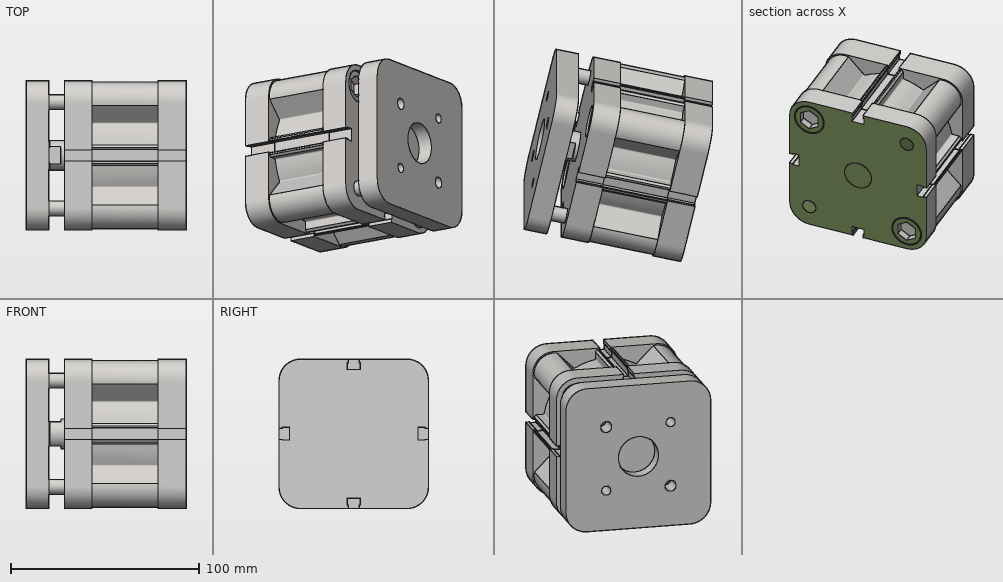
import cadquery as cq
import math


plate_thickness = 12
cap_front = 20.3
barrel_start = 34.9
barrel_end = 70
total_length = 85

body_size = 79.5
half_size = body_size / 2
corner_radius = 11.5
corner_offset = half_size - corner_radius

barrel_inset = 0.75
barrel_size = body_size - 2 * barrel_inset
barrel_corner_radius = corner_radius - barrel_inset
tube_radius = 34
corner_web_width = 17.6
rib_width = 10.8
rib_chamfer = 1.15
groove_fillet = 0.85

slot_width = 5.8
slot_undercut_width = 6.8
slot_lip = 2
slot_depth = 5.5
slot_floor = half_size - slot_depth
barrel_slot_width = 6
barrel_slot_undercut_width = 7.4
barrel_slot_depth = 5.8
barrel_slot_floor = half_size - barrel_slot_depth
barrel_slot_lip = 0.7
slot_mouth_chamfer = 0.3

plate_recess_diameter = 22
plate_recess_depth = 8
mounting_circle_diameter = 50
mounting_offset = mounting_circle_diameter / 2 * math.sin(math.radians(45))
screw_hole_diameter = 6
dowel_hole_diameter = 5

rod_diameter = 16
rod_chamfer = 0.7
rod_flats_width = 13
rod_flats_end = 18.25
rod_flats_runout = 0.25

guide_diameter = 8
guide_offset = corner_offset

screw_counterbore_diameter = 17
screw_head_diameter = 16.4
screw_counterbore_depth = 4
screw_head_sink = 1
socket_width = 10
socket_depth = 5

guide_points = [(-guide_offset, guide_offset), (guide_offset, -guide_offset)]
cap_screw_points = [(corner_offset, corner_offset), (-corner_offset, -corner_offset)]
screw_hole_points = [(mounting_offset, mounting_offset), (-mounting_offset, -mounting_offset)]
dowel_hole_points = [(-mounting_offset, mounting_offset), (mounting_offset, -mounting_offset)]


def section(x):
    """Workplane across the cylinder axis at x; its local axes are Y and Z."""
    return cq.Workplane("YZ", origin=(x, 0, 0))


def cylinder(diameter, x_start, x_end, points=((0, 0),)):
    """Cylinders along X centered on (Y, Z) points."""
    return section(x_start).pushPoints(list(points)).circle(diameter / 2).extrude(x_end - x_start)


def rounded_block(size, radius, x_start, x_end):
    """Square block with rounded long edges."""
    return section(x_start).rect(size, size).extrude(x_end - x_start).edges("|X").fillet(radius)


def make_yoke_plate():
    plate = rounded_block(body_size, corner_radius, 0, plate_thickness)
    plate = plate.cut(cylinder(plate_recess_diameter, 0, plate_recess_depth))
    plate = plate.cut(cylinder(screw_hole_diameter, 0, plate_thickness, screw_hole_points))
    return plate.cut(cylinder(dowel_hole_diameter, 0, plate_thickness, dowel_hole_points))


def make_piston_rod():
    rod = cylinder(rod_diameter, plate_thickness, barrel_end).faces("<X").chamfer(rod_chamfer)
    flat_height = rod_flats_width / 2
    rod_radius = rod_diameter / 2
    flat_cut = (
        cq.Workplane("XZ")
        .moveTo(plate_thickness, flat_height)
        .lineTo(rod_flats_end, flat_height)
        .lineTo(rod_flats_end + rod_flats_runout, rod_radius)
        .lineTo(plate_thickness, rod_radius)
        .close()
        .extrude(rod_radius, both=True)
    )
    return rod.cut(flat_cut).cut(flat_cut.mirror("XY"))


def make_guide_rod(point):
    return cylinder(guide_diameter, plate_thickness, barrel_end, [point])


def make_barrel():
    length = barrel_end - barrel_start
    barrel = cylinder(2 * tube_radius, barrel_start, barrel_end)
    corner_distance = math.hypot(corner_offset, corner_offset)
    web = section(barrel_start).rect(2 * corner_distance, corner_web_width).extrude(length)
    full_web = section(barrel_start).rect(2 * body_size, corner_web_width).extrude(length)
    corner_centers = [(-corner_distance, 0), (corner_distance, 0)]
    corners = cylinder(2 * barrel_corner_radius, barrel_start, barrel_end, corner_centers)
    web = web.union(corners.intersect(full_web))
    for angle in (45, 135):
        barrel = barrel.union(web.rotate((0, 0, 0), (1, 0, 0), angle))
    rib = section(barrel_start).rect(rib_width, barrel_size).extrude(length)
    rib = rib.edges("|X").chamfer(rib_chamfer)
    for angle in (0, 90):
        barrel = barrel.union(rib.rotate((0, 0, 0), (1, 0, 0), angle))
    inner_corners = barrel.edges("|X").filter(
        lambda edge: math.isclose(math.hypot(edge.Center().y, edge.Center().z), tube_radius, abs_tol=0.01)
    )
    return inner_corners.fillet(groove_fillet)


def make_slot(x_start, x_end, width, undercut_width, floor, lip_bottom, mouth):
    """Cutter for an undercut slot on the top side; floor, lip_bottom and mouth are heights in Z."""
    length = x_end - x_start
    opening = section(x_start).center(0, (floor + mouth) / 2).rect(width, mouth - floor)
    undercut = section(x_start).center(0, (floor + lip_bottom) / 2)
    undercut = undercut.rect(undercut_width, lip_bottom - floor)
    return opening.extrude(length).union(undercut.extrude(length))


def make_barrel_slot():
    """Cutter for the deeper slot in the barrel, with thin lips and a chamfered mouth."""
    mouth = barrel_size / 2
    lip_bottom = mouth - barrel_slot_lip
    slot = make_slot(
        barrel_start,
        barrel_end,
        barrel_slot_width,
        barrel_slot_undercut_width,
        barrel_slot_floor,
        lip_bottom,
        mouth,
    )
    half_width = barrel_slot_width / 2
    mouth_chamfer = (
        section(barrel_start)
        .moveTo(-half_width - slot_mouth_chamfer, mouth)
        .lineTo(half_width + slot_mouth_chamfer, mouth)
        .lineTo(half_width, mouth - slot_mouth_chamfer)
        .lineTo(-half_width, mouth - slot_mouth_chamfer)
        .close()
        .extrude(barrel_end - barrel_start)
    )
    return slot.union(mouth_chamfer)


def cut_on_all_sides(body, cutter):
    for angle in (0, 90, 180, 270):
        body = body.cut(cutter.rotate((0, 0, 0), (1, 0, 0), angle))
    return body


def make_end_cap(x_start, x_end):
    cap = rounded_block(body_size, corner_radius, x_start, x_end)
    lip_bottom = half_size - slot_lip
    slot = make_slot(x_start, x_end, slot_width, slot_undercut_width, slot_floor, lip_bottom, half_size)
    return cut_on_all_sides(cap, slot)


def make_cap_screw_pocket(point):
    """Cutter that leaves a sunk socket head standing in its counterbore."""
    head_face = cap_front + screw_head_sink
    pocket = cylinder(screw_counterbore_diameter, cap_front, cap_front + screw_counterbore_depth, [point])
    head = cylinder(screw_head_diameter, head_face, cap_front + screw_counterbore_depth, [point])
    socket_corner_diameter = socket_width / math.cos(math.radians(30))
    socket = cq.Workplane("YZ").polygon(6, socket_corner_diameter).extrude(socket_depth)
    socket = socket.rotate((0, 0, 0), (1, 0, 0), 30).translate((head_face, *point))
    return pocket.cut(head).union(socket)


def make_housing():
    housing = cut_on_all_sides(make_barrel(), make_barrel_slot())
    housing = housing.union(make_end_cap(cap_front, barrel_start))
    housing = housing.union(make_end_cap(barrel_end, total_length))
    for point in cap_screw_points:
        housing = housing.cut(make_cap_screw_pocket(point))
    housing = housing.cut(cylinder(rod_diameter, cap_front, barrel_end))
    return housing.cut(cylinder(guide_diameter, cap_front, barrel_end, guide_points))


yoke_plate = make_yoke_plate()
piston_rod = make_piston_rod()
guide_rods = [make_guide_rod(point) for point in guide_points]
housing = make_housing()

result = cq.Compound.makeCompound(
    [yoke_plate.val(), piston_rod.val(), *[rod.val() for rod in guide_rods], housing.val()]
)